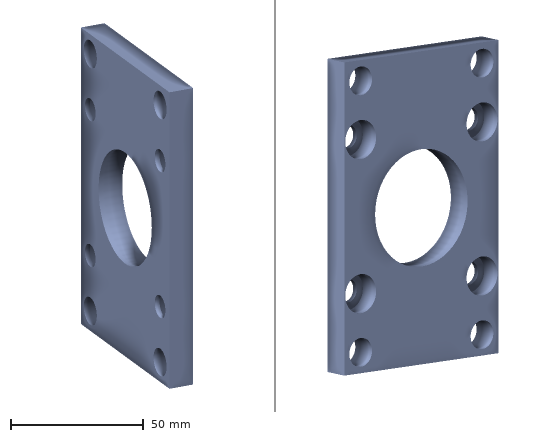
import cadquery as cq

plate_width = 75.0
plate_thickness = 10.0
plate_height = 120.0

bore_diameter = 45.0

square_pitch = 59.0
corner_pitch_z = 104.0
corner_hole_diameter = 11.0
square_hole_diameter = 9.0

counterbore_diameter = 15.0
counterbore_floor = 2.0
counterbore_depth = plate_thickness - counterbore_floor


def four_positions(plate, pitch_x, pitch_z):
    """Place points on the +Y face at the corners of a centred rectangle."""
    return (
        plate.faces(">Y")
        .workplane(origin=(0, 0, 0))
        .rect(pitch_x, pitch_z, forConstruction=True)
        .vertices()
    )


plate = cq.Workplane("XY").box(plate_width, plate_thickness, plate_height)
plate = plate.faces(">Y").workplane(origin=(0, 0, 0)).hole(bore_diameter)
plate = four_positions(plate, square_pitch, corner_pitch_z).hole(corner_hole_diameter)
result = four_positions(plate, square_pitch, square_pitch).cboreHole(
    square_hole_diameter, counterbore_diameter, counterbore_depth
)